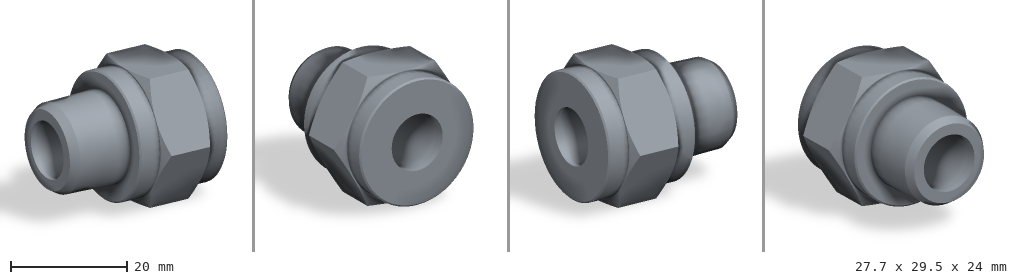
import cadquery as cq
import math

total_length = 29.5
stem_length = 11.5
tip_chamfer_length = 1.53
hex_length = 10.0
body_length = total_length - stem_length
collar_length = (body_length - hex_length) / 2
hex_start = stem_length + collar_length

hex_across_flats = 24.0
hex_across_corners = hex_across_flats / math.cos(math.pi / 6)
hex_chamfer_angle = 30.0
trim_clearance = 0.3
collar_diameter = 23.5
collar_chamfer = 0.3
stem_tip_diameter = 14.48
stem_front_diameter = 16.35
stem_base_diameter = 16.93
bore_diameter = 10.5


def revolve_profile(points):
    """Revolve a closed (radius, y) outline about the Y axis."""
    return cq.Workplane("XY").polyline(points).close().revolve(360, (0, 0), (0, 1))


def make_stem():
    """Tapered stem with a steeper lead-in cone at the tip."""
    return revolve_profile([
        (0, 0),
        (stem_tip_diameter / 2, 0),
        (stem_front_diameter / 2, tip_chamfer_length),
        (stem_base_diameter / 2, stem_length),
        (0, stem_length),
    ])


def make_collars():
    """Round body that shows as a collar on each side of the hexagon."""
    radius = collar_diameter / 2
    return revolve_profile([
        (0, stem_length),
        (radius - collar_chamfer, stem_length),
        (radius, stem_length + collar_chamfer),
        (radius, total_length - collar_chamfer),
        (radius - collar_chamfer, total_length),
        (0, total_length),
    ])


def make_hexagon():
    """Wrench hexagon with corners on X, its corners trimmed by a cone at each end."""
    hexagon = (
        cq.Workplane("XZ", origin=(0, hex_start, 0))
        .polygon(6, hex_across_corners)
        .extrude(-hex_length)
    )
    face_radius = hex_across_flats / 2
    corner_radius = hex_across_corners / 2
    trim_radius = corner_radius + trim_clearance
    trim_depth = (trim_radius - face_radius) * math.tan(math.radians(hex_chamfer_angle))
    hex_end = hex_start + hex_length
    trim_envelope = revolve_profile([
        (0, hex_start),
        (face_radius, hex_start),
        (trim_radius, hex_start + trim_depth),
        (trim_radius, hex_end - trim_depth),
        (face_radius, hex_end),
        (0, hex_end),
    ])
    return hexagon.intersect(trim_envelope)


def make_bore():
    """Straight through bore."""
    return cq.Workplane("XZ").circle(bore_diameter / 2).extrude(-total_length)


result = make_stem().union(make_collars()).union(make_hexagon()).cut(make_bore())